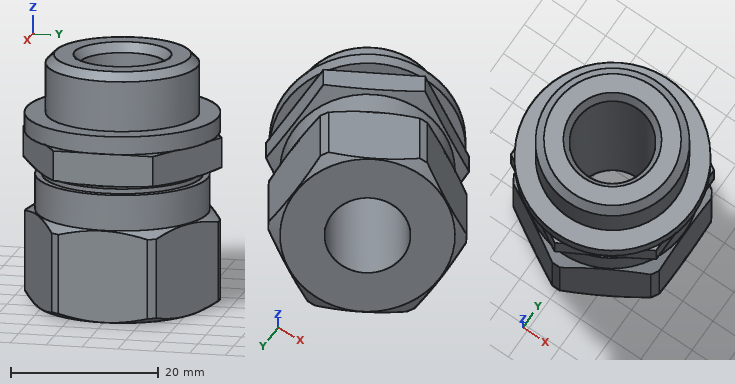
import cadquery as cq
import math

TOTAL_HEIGHT = 34.7
FLANGE_TOP = 26.58
FLANGE_BOTTOM = 24.08
BODY_HEX_TOP = 23.77
RECESS_FILLET_BOTTOM = 18.65
COLLAR_TOP = 17.97
NUT_TOP = 12.98

SPIGOT_DIAMETER = 20.95
FLANGE_DIAMETER = 26.7
UPPER_NECK_DIAMETER = 23.05
RECESS_DIAMETER = 22.0
COLLAR_DIAMETER = 23.8
NUT_CORNER_DIAMETER = 27.03
BORE_DIAMETER = 11.7
COUNTERSINK_DIAMETER = 13.35

SPIGOT_CHAMFER = 1.15
COUNTERSINK_DEPTH = 1.32

HEX_CORNER_DIAMETER = 27.73
HEX_ROTATION = 30
NUT_CHAMFER_ANGLE = 30
BODY_HEX_CHAMFER_ANGLE = 12
BODY_HEX_CORNER_BOTTOM = 19.6
RECESS_FILLET = 0.5


def cylinder(diameter, bottom, top):
    return cq.Workplane("XY").workplane(offset=bottom).circle(diameter / 2).extrude(top - bottom)


def hexagon(bottom, top):
    blank = cq.Workplane("XY").workplane(offset=bottom).polygon(6, HEX_CORNER_DIAMETER)
    return blank.extrude(top - bottom).rotate((0, 0, 0), (0, 0, 1), HEX_ROTATION)


def make_nut():
    """Hexagon with corners turned round and both ends chamfered conically."""
    chamfer_width = (NUT_CORNER_DIAMETER - COLLAR_DIAMETER) / 2
    chamfer_height = chamfer_width * math.tan(math.radians(NUT_CHAMFER_ANGLE))
    envelope = cylinder(NUT_CORNER_DIAMETER, 0, NUT_TOP)
    envelope = envelope.faces("<Z or >Z").chamfer(chamfer_height, chamfer_width)
    return hexagon(0, NUT_TOP).intersect(envelope)


def make_body_hex():
    """Hexagon whose conical underside runs through a fillet into the recess."""
    outer_radius = HEX_CORNER_DIAMETER / 2
    recess_radius = RECESS_DIAMETER / 2
    cone_inner_radius = recess_radius + RECESS_FILLET
    slope = math.tan(math.radians(BODY_HEX_CHAMFER_ANGLE))
    cone_bottom = BODY_HEX_CORNER_BOTTOM - (outer_radius - cone_inner_radius) * slope
    arc_offset = RECESS_FILLET * math.sqrt(0.5)
    arc_middle = (cone_inner_radius - arc_offset, cone_bottom - RECESS_FILLET + arc_offset)
    envelope = (
        cq.Workplane("XZ")
        .moveTo(0, RECESS_FILLET_BOTTOM)
        .lineTo(recess_radius, RECESS_FILLET_BOTTOM)
        .lineTo(recess_radius, cone_bottom - RECESS_FILLET)
        .threePointArc(arc_middle, (cone_inner_radius, cone_bottom))
        .lineTo(outer_radius, BODY_HEX_CORNER_BOTTOM)
        .lineTo(outer_radius, BODY_HEX_TOP)
        .lineTo(0, BODY_HEX_TOP)
        .close()
        .revolve(360, (0, 0), (0, 1))
    )
    return hexagon(RECESS_FILLET_BOTTOM, BODY_HEX_TOP).intersect(envelope)


def make_spigot():
    spigot = cylinder(SPIGOT_DIAMETER, FLANGE_TOP, TOTAL_HEIGHT)
    return spigot.faces(">Z").chamfer(SPIGOT_CHAMFER)


def make_bore():
    """Through bore with a conical countersink at the spigot end."""
    bore = cylinder(BORE_DIAMETER, 0, TOTAL_HEIGHT)
    countersink = (
        cq.Workplane("XY")
        .workplane(offset=TOTAL_HEIGHT - COUNTERSINK_DEPTH)
        .circle(BORE_DIAMETER / 2)
        .workplane(offset=COUNTERSINK_DEPTH)
        .circle(COUNTERSINK_DIAMETER / 2)
        .loft()
    )
    return bore.union(countersink)


result = (
    make_nut()
    .union(cylinder(COLLAR_DIAMETER, NUT_TOP, COLLAR_TOP))
    .union(cylinder(RECESS_DIAMETER, COLLAR_TOP, RECESS_FILLET_BOTTOM))
    .union(make_body_hex())
    .union(cylinder(UPPER_NECK_DIAMETER, BODY_HEX_TOP, FLANGE_BOTTOM))
    .union(cylinder(FLANGE_DIAMETER, FLANGE_BOTTOM, FLANGE_TOP))
    .union(make_spigot())
    .cut(make_bore())
)